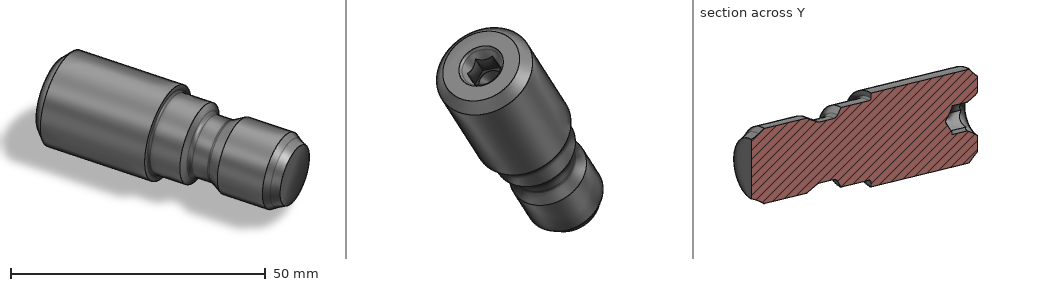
import cadquery as cq
import math

total_length = 53.0
head_end = 25.0
collar_end = 32.0
neck_start = 33.1
neck_end = 37.3
tip_start = 40.0
tip_end = 50.0
tip_bend = 51.25

head_diameter = 20.0
head_radius = head_diameter / 2
collar_radius = 8.5
neck_radius = 6.5
tip_radius = 8.0
tip_bend_radius = 7.15
end_radius = 6.3

head_chamfer = 2.0
shoulder_round = 0.4
neck_start_round = 1.0
neck_end_round = 0.75

socket_mouth_radius = 4.6
lead_in_radius = 4.15
lead_in_half_angle = 30.0
hex_across_flats = 6.0
hex_depth = 6.0
drill_radius = 2.55
drill_point_angle = 118.0


def circle_edge(x, radius):
    """Selector for the circular edge of the given radius centred on the axis at x."""
    margin = 0.025
    reach = radius + margin
    return cq.selectors.BoxSelector(
        (x - margin, -reach, -reach), (x + margin, reach, reach), boundingbox=True
    )


def turned_body():
    profile = [
        (0, 0),
        (0, head_radius - head_chamfer),
        (head_chamfer, head_radius),
        (head_end, head_radius),
        (head_end, collar_radius),
        (collar_end, collar_radius),
        (neck_start, neck_radius),
        (neck_end, neck_radius),
        (tip_start, tip_radius),
        (tip_end, tip_radius),
        (tip_bend, tip_bend_radius),
        (total_length, end_radius),
        (total_length, 0),
    ]
    body = cq.Workplane("XY").polyline(profile).close().revolve(360, (0, 0, 0), (1, 0, 0))
    inner_corners = [
        (head_end, collar_radius, shoulder_round),
        (neck_start, neck_radius, neck_start_round),
        (neck_end, neck_radius, neck_end_round),
    ]
    for x, radius, round_radius in inner_corners:
        body = body.edges(circle_edge(x, radius)).fillet(round_radius)
    return body


def hex_socket():
    across_corners = hex_across_flats / math.cos(math.pi / 6)
    hexagon = cq.Workplane("YZ").polygon(6, across_corners).extrude(hex_depth)

    lead_in_end_radius = hex_across_flats / 2
    bevel_depth = socket_mouth_radius - lead_in_radius
    lead_in_depth = (lead_in_radius - lead_in_end_radius) / math.tan(math.radians(lead_in_half_angle))
    lead_in_profile = [
        (0, 0),
        (0, socket_mouth_radius),
        (bevel_depth, lead_in_radius),
        (bevel_depth + lead_in_depth, lead_in_end_radius),
        (bevel_depth + lead_in_depth, 0),
    ]
    lead_in = cq.Workplane("XY").polyline(lead_in_profile).close().revolve(360, (0, 0, 0), (1, 0, 0))

    point_depth = drill_radius / math.tan(math.radians(drill_point_angle / 2))
    drill_point = cq.Solid.makeCone(
        drill_radius, 0, point_depth, cq.Vector(hex_depth, 0, 0), cq.Vector(1, 0, 0)
    )
    return hexagon.union(lead_in).union(cq.Workplane(drill_point))


result = turned_body().cut(hex_socket())